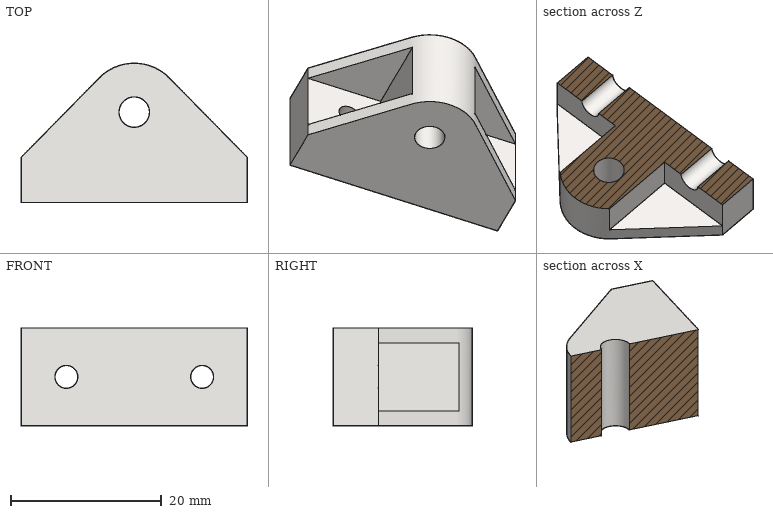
import cadquery as cq
import math

width = 30.0
height = 13.0
base_depth = 6.0

nose_radius = 6.5
pivot_y = 12.0
pivot_diameter = 4.0

mount_spacing = 18.0
mount_diameter = 3.0
pocket_size = 9.0

half_width = width / 2
pocket_inner_x = (mount_spacing - pocket_size) / 2


def make_body():
    """Block whose flanks run tangent into the rounded nose."""
    rise = pivot_y - base_depth
    corner_to_pivot = math.hypot(half_width, rise)
    flank_normal = math.acos(nose_radius / corner_to_pivot) - math.atan2(rise, half_width)
    tangent_x = nose_radius * math.cos(flank_normal)
    tangent_y = pivot_y + nose_radius * math.sin(flank_normal)
    return (
        cq.Workplane("XY")
        .moveTo(-half_width, 0)
        .lineTo(half_width, 0)
        .lineTo(half_width, base_depth)
        .lineTo(tangent_x, tangent_y)
        .threePointArc((0, pivot_y + nose_radius), (-tangent_x, tangent_y))
        .lineTo(-half_width, base_depth)
        .close()
        .extrude(height)
    )


def make_pivot_hole():
    """Vertical through hole concentric with the nose."""
    return cq.Workplane("XY").center(0, pivot_y).circle(pivot_diameter / 2).extrude(height)


def make_mount_hole(side):
    """Hole along Y through the base, on the given side (-1 or 1)."""
    return (
        cq.Workplane("XZ")
        .center(side * mount_spacing / 2, height / 2)
        .circle(mount_diameter / 2)
        .extrude(-base_depth)
    )


def make_pocket(side):
    """Screw-head pocket above the base, open through the flank on the given side."""
    pocket_length = half_width - pocket_inner_x
    pocket_depth = pivot_y + nose_radius - base_depth
    return (
        cq.Workplane("XY")
        .box(pocket_length, pocket_depth, pocket_size)
        .translate((
            side * (pocket_inner_x + pocket_length / 2),
            base_depth + pocket_depth / 2,
            height / 2,
        ))
    )


result = make_body().cut(make_pivot_hole())
for side in (-1, 1):
    result = result.cut(make_mount_hole(side)).cut(make_pocket(side))